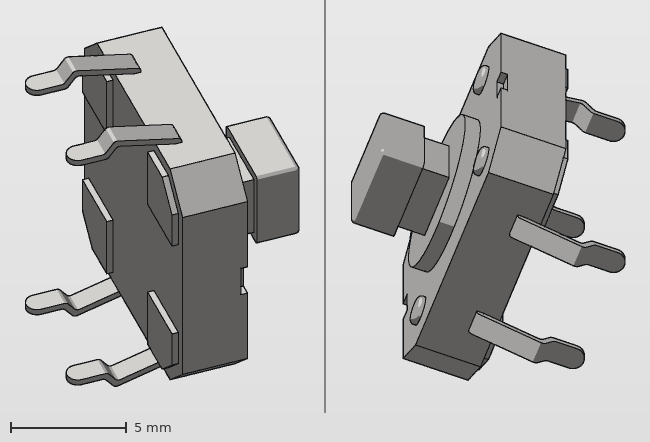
import cadquery as cq
import math


body_width = 12.0
body_depth = 3.0
body_chamfer = 1.53

notch_length = 1.49
notch_depth = 0.3
notch_reach = 0.5

foot_size = 2.97
foot_height = 0.29
foot_inset = 0.53
foot_chamfer = 1.2

collar_diameter = 6.95
collar_height = 0.7
stem_width = 3.0
stem_length = 1.3
cap_width = 3.8
cap_height = 2.0
cap_round = 0.2

rivet_diameter = 1.3
rivet_height = 0.29
rivet_round = 0.2
rivet_offset = 3.86

lead_width = 1.0
lead_thickness = 0.29
lead_spacing = 4.98
lead_bend_radius = 0.22
lead_root = (-1.1, -0.28)
lead_shoulder = (-1.1, 0.22)
lead_peak = (1.98, 1.0)
lead_knee = (2.47, 0.39)
lead_tip_height = lead_knee[1]
lead_tip_reach = 4.02

half_body = body_width / 2
corner_signs = [(sx, sz) for sx in (-1, 1) for sz in (-1, 1)]


def block(width, y_start, length):
    """Square block centred on the Y axis, running from y_start toward +Y."""
    return cq.Workplane("XY").box(width, length, width).translate((0, y_start + length / 2, 0))


def disc(diameter, y_start, height):
    """Round disc on the Y axis, running from y_start toward +Y."""
    return cq.Workplane("XZ", origin=(0, y_start, 0)).circle(diameter / 2).extrude(-height)


def make_body():
    body = block(body_width, 0, body_depth).edges("|Y").chamfer(body_chamfer)
    notch = cq.Workplane("XY").box(2 * notch_reach, 2 * notch_depth, notch_length)
    for side in (-1, 1):
        body = body.cut(notch.translate((side * half_body, body_depth, 0)))
    return body


def make_foot(sx, sz):
    centre = half_body - foot_inset - foot_size / 2
    foot = block(foot_size, -foot_height, foot_height).translate((sx * centre, 0, sz * centre))
    outer_corner = (sx * half_body, -foot_height / 2, sz * half_body)
    return foot.edges("|Y").edges(cq.NearestToPointSelector(outer_corner)).chamfer(foot_chamfer)


def make_button():
    stem_start = body_depth + collar_height
    collar = disc(collar_diameter, body_depth, collar_height)
    stem = block(stem_width, stem_start, stem_length)
    cap = block(cap_width, stem_start + stem_length, cap_height)
    cap = cap.edges("|Y").fillet(cap_round).faces(">Y").edges().fillet(cap_round)
    return collar.union(stem).union(cap)


def make_rivet(sx, sz):
    rivet = disc(rivet_diameter, body_depth, rivet_height).faces(">Y").edges().fillet(rivet_round)
    return rivet.translate((sx * rivet_offset, 0, sz * rivet_offset))


def inner_path(path, thickness):
    """Path parallel to the given one, shifted to its right by the thickness."""
    angles = [math.atan2(b[1] - a[1], b[0] - a[0]) for a, b in zip(path, path[1:])]
    befores = angles[:1] + angles
    afters = angles + angles[-1:]
    shifted = []
    for (reach, height), before, after in zip(path, befores, afters):
        middle = (before + after) / 2
        shift = thickness / math.cos((after - before) / 2)
        shifted.append((reach + shift * math.sin(middle), height - shift * math.cos(middle)))
    return shifted


def make_lead():
    """Bent strip on the +Z side of the body, centred on X = 0, with a rounded tip."""
    tip_radius = lead_width / 2
    tip_centre = (lead_tip_reach - tip_radius, lead_tip_height)
    outer = [lead_root, lead_shoulder, lead_peak, lead_knee, tip_centre]
    inner = inner_path(outer, lead_thickness)
    outline = outer + inner[::-1]
    points = [(-reach, half_body + height) for reach, height in outline]
    lead = cq.Workplane("YZ").polyline(points).close().extrude(lead_width / 2, both=True)
    bends = outer[1:-1] + inner[2:-1]
    for reach, height in bends:
        bend = cq.NearestToPointSelector((0, -reach, half_body + height))
        lead = lead.edges("|X").edges(bend).fillet(lead_bend_radius)
    tip_base = half_body + lead_tip_height - lead_thickness
    tip = cq.Workplane("XY", origin=(0, -tip_centre[0], tip_base)).circle(tip_radius).extrude(lead_thickness)
    return lead.union(tip)


result = make_body().union(make_button())
for sx, sz in corner_signs:
    result = result.union(make_foot(sx, sz)).union(make_rivet(sx, sz))

upper_lead = make_lead()
lower_lead = upper_lead.mirror("XY")
for side in (-1, 1):
    for lead in (upper_lead, lower_lead):
        result = result.union(lead.translate((side * lead_spacing / 2, 0, 0)))